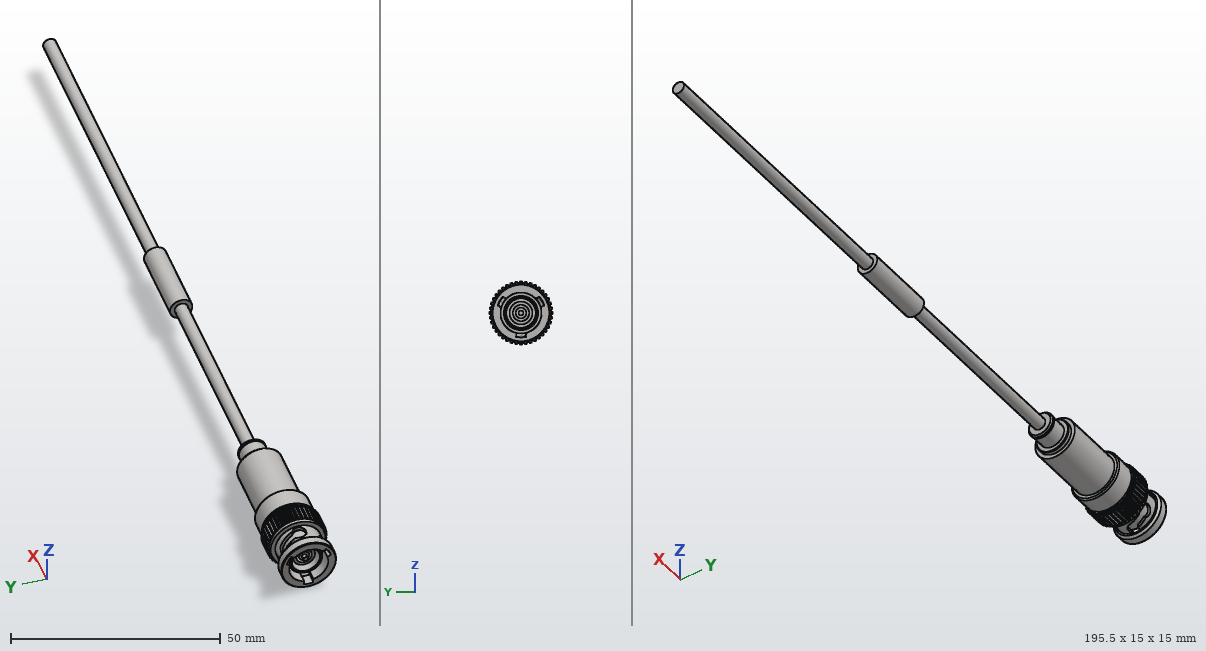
import cadquery as cq
import math

total_length = 195.5

lip_radius = 13.9 / 2
lip_edge = 0.2
lip_cylinder_end = 2.3
lip_cone_end = 3.0
lip_cone_radius = 6.3
neck_radius = 11.5 / 2
collar_start = 8.0
shell_end = 13.9
bore_radius = 4.9

knurl_start = 9.0
knurl_end = 13.5
knurl_radius = 15.0 / 2
knurl_depth = 0.68
knurl_crest = 0.4
knurl_count = 40

slot_count = 3
slot_width = 2.3
slot_outer_radius = 5.9
entry_angle = 30.0
lock_angle = 85.0
entry_x = 4.9
lock_x = 5.9
lock_radius = 1.8

spigot_start = 8.2
seat_radius = 6.5
ring_start = 14.9
ring_end = 20.3
ring_chamfer = 0.4
barrel_end = 37.0
shoulder_radius = 4.7
shoulder_chamfer = 0.2
shoulder_end = 38.1
tail_radius = 6.8 / 2
rim_start = 42.5
rim_radius = 3.5
rim_chamfer = 0.4
body_end = 43.5

contact_start = 2.0
contact_outer_radius = 4.1
contact_inner_radius = 3.5
contact_chamfer = 0.2
insulator_start = 3.5
insulator_outer_radius = 2.7
insulator_inner_radius = 2.0
pin_base_start = 3.5
pin_base_radius = 1.27
pin_start = 2.3
pin_radius = 0.5

cable_radius = 1.66
sleeve_start = 96.2
sleeve_end = 116.0
sleeve_radius = 5.7 / 2


def cylinder(radius, start, end):
    return cq.Workplane("YZ", origin=(start, 0, 0)).circle(radius).extrude(end - start)


def tube(outer_radius, inner_radius, start, end):
    return cylinder(outer_radius, start, end).cut(cylinder(inner_radius, start, end))


def cone(start_radius, end_radius, start, end):
    profile = [(start, 0), (start, start_radius), (end, end_radius), (end, 0)]
    return cq.Workplane("XY").polyline(profile).close().revolve(360, (0, 0, 0), (1, 0, 0))


def around_x(shape, angle):
    return shape.rotate((0, 0, 0), (1, 0, 0), angle)


def make_knurl():
    """Grip band with V grooves along its full width and flat crests between them."""
    band = cylinder(knurl_radius, knurl_start, knurl_end)
    half_groove = math.pi * knurl_radius / knurl_count - knurl_crest / 2
    groove = (
        cq.Workplane("YZ", origin=(knurl_start, 0, 0))
        .moveTo(knurl_radius - knurl_depth, 0)
        .lineTo(knurl_radius, half_groove)
        .lineTo(knurl_radius + knurl_depth, half_groove)
        .lineTo(knurl_radius + knurl_depth, -half_groove)
        .lineTo(knurl_radius, -half_groove)
        .close()
        .extrude(knurl_end - knurl_start)
    )
    grooves = [around_x(groove, (i + 0.5) * 360 / knurl_count).val() for i in range(knurl_count)]
    return band.cut(cq.Workplane(cq.Compound.makeCompound(grooves)))


def make_bayonet_slot():
    """Entry channel, slanted run and round lock hole; the run is laid out flat about its middle angle."""
    entry = cq.Workplane("XY").box(entry_x, slot_width, slot_outer_radius, centered=(False, True, False))
    entry = around_x(entry, entry_angle - 90)

    middle_angle = (entry_angle + lock_angle) / 2
    half_span = bore_radius * math.sin(math.radians((lock_angle - entry_angle) / 2))
    run_length = math.hypot(lock_x - entry_x, 2 * half_span)
    run_slant = math.degrees(math.atan2(-2 * half_span, lock_x - entry_x))
    run = (
        cq.Workplane("XY")
        .center((entry_x + lock_x) / 2, 0)
        .slot2D(run_length + slot_width, slot_width, run_slant)
        .extrude(slot_outer_radius)
    )
    run = around_x(run, middle_angle - 90)

    lock = cq.Workplane("XY").center(lock_x, 0).circle(lock_radius).extrude(slot_outer_radius)
    lock = around_x(lock, lock_angle - 90)

    slot = entry.union(run).union(lock)
    return slot.intersect(cylinder(slot_outer_radius, 0, shell_end))


def make_shell():
    lip = cylinder(lip_radius, 0, lip_cylinder_end).faces("<X").edges().chamfer(lip_edge)
    lip = lip.union(cone(lip_radius, lip_cone_radius, lip_cylinder_end, lip_cone_end))
    neck = cylinder(neck_radius, 0, shell_end)
    collar = cylinder(lip_radius, collar_start, shell_end)
    shell = lip.union(neck).union(collar).union(make_knurl())
    shell = shell.cut(cylinder(bore_radius, 0, shell_end))
    slot = make_bayonet_slot()
    for i in range(slot_count):
        shell = shell.cut(around_x(slot, i * 360 / slot_count))
    return shell


def make_plug_body():
    ring = cylinder(lip_radius, ring_start, ring_end).faces(">X").edges().chamfer(ring_chamfer)
    shoulder = cylinder(shoulder_radius, barrel_end, shoulder_end)
    shoulder = shoulder.faces(">X").edges().chamfer(shoulder_chamfer)
    rim = cylinder(rim_radius, rim_start, body_end).faces(">X").edges().chamfer(rim_chamfer)
    contact = tube(contact_outer_radius, contact_inner_radius, contact_start, spigot_start)
    contact = contact.faces("<X").edges().chamfer(contact_chamfer)
    sections = [
        cylinder(seat_radius, shell_end, ring_start),
        ring,
        cylinder(neck_radius, ring_end, barrel_end),
        shoulder,
        cylinder(tail_radius, shoulder_end, rim_start),
        rim,
        contact,
        tube(insulator_outer_radius, insulator_inner_radius, insulator_start, spigot_start),
        cylinder(pin_base_radius, pin_base_start, spigot_start),
        cylinder(pin_radius, pin_start, spigot_start),
    ]
    body = cylinder(bore_radius, spigot_start, shell_end)
    for section in sections:
        body = body.union(section)
    return body


shell = make_shell()
plug_body = make_plug_body()
cable = cylinder(cable_radius, body_end, total_length)
sleeve = tube(sleeve_radius, cable_radius, sleeve_start, sleeve_end)

result = cq.Compound.makeCompound([shell.val(), plug_body.val(), cable.val(), sleeve.val()])